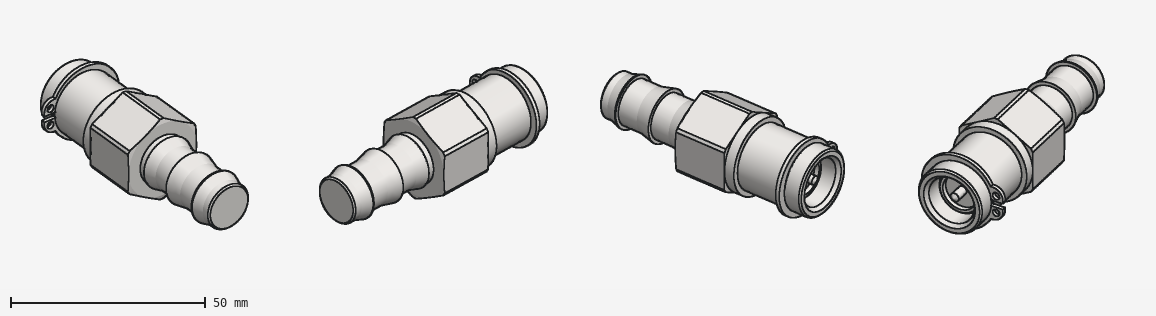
import cadquery as cq
import math

TOTAL_LENGTH = 67.5
GROOVE_START = 5.1
RING_START = 5.25
RING_END = 6.4
COLLAR_START = 20.4
HEX_START = 23.4
HEX_CHAMFER_START = 39.1
HEX_END = 39.5

BODY_DIAMETER = 19.0
GROOVE_DIAMETER = 18.0
COLLAR_DIAMETER = 22.0
HEX_ACROSS_FLATS = COLLAR_DIAMETER
HEX_ACROSS_CORNERS = 24.8
NECK_DIAMETER = 14.5
STEM_DIAMETER = 13.15
BARB_DIAMETER = 15.25
EDGE_CHAMFER = 0.5

BARBS = [
    (41.5, 41.7, 45.1),
    (50.8, 51.1, 55.4),
    (61.4, 61.75, 64.95),
]

MOUTH_DIAMETER = 15.4
SOCKET_DIAMETER = 13.6
MOUTH_DEPTH = 1.1
SOCKET_DEPTH = 6.55
TUBE_OUTER_DIAMETER = 12.6
TUBE_INNER_DIAMETER = 10.0
TUBE_FRONT = 5.05
PIN_DIAMETER = 2.5
PIN_TIP = 1.9
PIN_SHOULDER = 2.6

RING_DIAMETER = 21.9
RING_OFFSET = 0.55
EAR_ROOT_Y = -8.1
EAR_TIP_Y = -12.8
EAR_TOP_Z = 5.0
EAR_CORNER_RADIUS = 3.2
EAR_HOLE_DIAMETER = 2.0
EAR_HOLE_Y = -10.8
EAR_HOLE_Z = 2.55
RING_GAP = 1.75


def disc(diameter, start, end, y=0.0, z=0.0):
    """Cylinder along X between two stations."""
    return (
        cq.Workplane("YZ", origin=(start, 0, 0))
        .center(y, z)
        .circle(diameter / 2)
        .extrude(end - start)
    )


def revolve_about_x(points):
    """Solid of revolution from (station, radius) points."""
    return cq.Workplane("XY").polyline(points).close().revolve(360, (0, 0, 0), (1, 0, 0))


def make_body():
    """Socket body with ring groove, collar and the barbed stem."""
    body_radius = BODY_DIAMETER / 2
    groove_radius = GROOVE_DIAMETER / 2
    collar_radius = COLLAR_DIAMETER / 2
    neck_radius = NECK_DIAMETER / 2
    stem_radius = STEM_DIAMETER / 2
    barb_radius = BARB_DIAMETER / 2
    points = [
        (0, 0),
        (0, body_radius - EDGE_CHAMFER),
        (EDGE_CHAMFER, body_radius),
        (GROOVE_START, body_radius),
        (GROOVE_START, groove_radius),
        (RING_END, groove_radius),
        (RING_END, body_radius),
        (COLLAR_START, body_radius),
        (COLLAR_START, collar_radius),
        (HEX_START, collar_radius),
        (HEX_START, neck_radius),
    ]
    root_radius = neck_radius
    for crest_start, crest_end, taper_end in BARBS:
        points += [
            (crest_start, root_radius),
            (crest_start, barb_radius),
            (crest_end, barb_radius),
            (taper_end, stem_radius),
        ]
        root_radius = stem_radius
    points += [
        (TOTAL_LENGTH - EDGE_CHAMFER, stem_radius),
        (TOTAL_LENGTH, stem_radius - EDGE_CHAMFER),
        (TOTAL_LENGTH, 0),
    ]
    return revolve_about_x(points)


def make_hex():
    """Hexagon with corners up and down, trimmed flat and chamfered by a cone at the stem end."""
    def hexagon(across_flats, turn):
        return (
            cq.Workplane("YZ", origin=(HEX_START, 0, 0))
            .polygon(6, across_flats / math.cos(math.pi / 6))
            .extrude(HEX_END - HEX_START)
            .rotate((0, 0, 0), (1, 0, 0), turn)
        )

    corner_radius = HEX_ACROSS_CORNERS / 2 / math.cos(math.pi / 12)
    chamfer_cone = revolve_about_x([
        (HEX_START, 0),
        (HEX_START, corner_radius),
        (HEX_CHAMFER_START, corner_radius),
        (HEX_END, HEX_ACROSS_FLATS / 2),
        (HEX_END, 0),
    ])
    hexagon_bar = hexagon(HEX_ACROSS_FLATS, 30).intersect(hexagon(HEX_ACROSS_CORNERS, 0))
    return hexagon_bar.intersect(chamfer_cone)


def make_socket():
    """Space cut from the body: tapered mouth and straight bore."""
    return revolve_about_x([
        (0, 0),
        (0, MOUTH_DIAMETER / 2),
        (MOUTH_DEPTH, SOCKET_DIAMETER / 2),
        (SOCKET_DEPTH, SOCKET_DIAMETER / 2),
        (SOCKET_DEPTH, 0),
    ])


def make_valve():
    """Chamfered tube standing on the socket floor, with a pointed pin inside."""
    tube = disc(TUBE_OUTER_DIAMETER, TUBE_FRONT, SOCKET_DEPTH).faces("<X").chamfer(EDGE_CHAMFER)
    tube = tube.cut(disc(TUBE_INNER_DIAMETER, TUBE_FRONT, SOCKET_DEPTH))
    pin = revolve_about_x([
        (PIN_TIP, 0),
        (PIN_SHOULDER, PIN_DIAMETER / 2),
        (SOCKET_DEPTH, PIN_DIAMETER / 2),
        (SOCKET_DEPTH, 0),
    ])
    return tube.union(pin)


def make_ear(side):
    """Ring ear above (side 1) or below (side -1) the gap, its outer corner rounded."""
    corner_y = EAR_TIP_Y + EAR_CORNER_RADIUS
    corner_z = EAR_TOP_Z - EAR_CORNER_RADIUS
    arc_reach = EAR_CORNER_RADIUS * math.sqrt(0.5)
    return (
        cq.Workplane("YZ", origin=(RING_START, 0, 0))
        .moveTo(EAR_ROOT_Y, 0)
        .lineTo(EAR_ROOT_Y, side * EAR_TOP_Z)
        .lineTo(corner_y, side * EAR_TOP_Z)
        .threePointArc(
            (corner_y - arc_reach, side * (corner_z + arc_reach)),
            (EAR_TIP_Y, side * corner_z),
        )
        .lineTo(EAR_TIP_Y, 0)
        .close()
        .extrude(RING_END - RING_START)
    )


def make_ring():
    """Eccentric open retaining ring with a pierced ear on each side of the gap."""
    ring = disc(RING_DIAMETER, RING_START, RING_END, y=RING_OFFSET)
    for side in (1, -1):
        ring = ring.union(make_ear(side))
    for side in (1, -1):
        ring = ring.cut(disc(EAR_HOLE_DIAMETER, RING_START, RING_END, EAR_HOLE_Y, side * EAR_HOLE_Z))
    gap = cq.Workplane("XY").box(
        RING_END - RING_START,
        RING_DIAMETER,
        RING_GAP,
    ).translate(((RING_START + RING_END) / 2, -RING_DIAMETER / 2, 0))
    return ring.cut(gap).cut(disc(GROOVE_DIAMETER, RING_START, RING_END))


result = make_body().union(make_hex()).union(make_ring()).cut(make_socket()).union(make_valve())